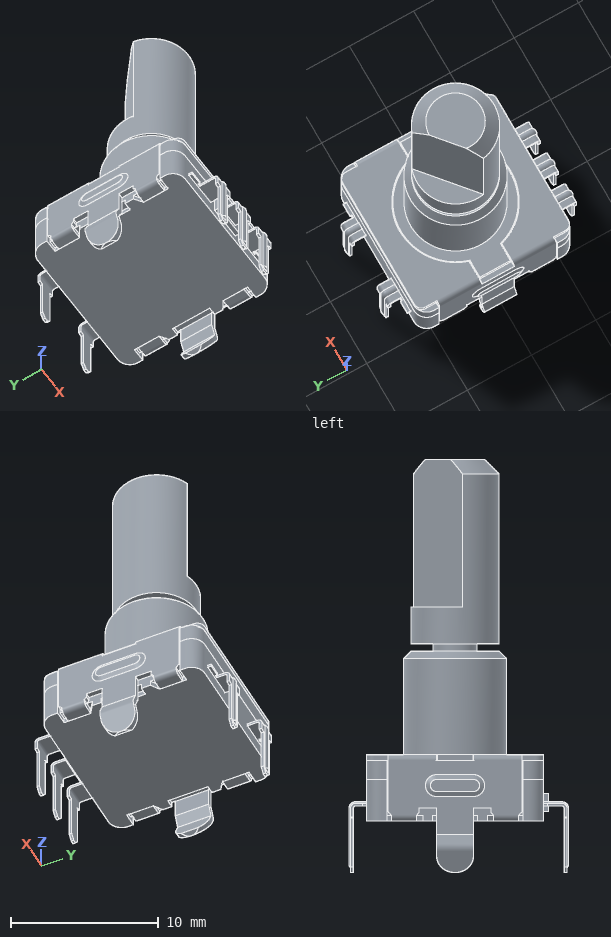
import cadquery as cq
import math


HOUSING_X = 11.7
HOUSING_Y = 12.0
HOUSING_CORNER = 1.0
BASE_TOP = 2.8
HOUSING_TOP = 4.5
CLEARANCE = 0.05

BRACKET_SHEET = 0.4
WALL_WIDTH = 9.1
COVER_CORNER = 0.53
COVER_HOLE_D = 8.62
COVER_BOTTOM = HOUSING_TOP - BRACKET_SHEET
WALL_OUTER_X = HOUSING_X / 2
WALL_INNER_X = WALL_OUTER_X - BRACKET_SHEET

TAB_FROM_Y = 2.6
TAB_TO_Y = 4.3
TAB_REACH = 1.0
TAB_INNER_X = WALL_OUTER_X - TAB_REACH
NOTCH_Y = 2.45
NOTCH_TOP = 0.9
NOTCH_CORNER_Z = 0.6
WALL_CORNER_Z = 0.65

PAD_LENGTH = 4.0
PAD_HEIGHT = 1.48
PAD_RISE = 0.17
PAD_SLOPE_WIDTH = 0.35
PAD_Z = 2.4

LEG_WIDTH = 2.52
LEG_BEND_Z = -0.92
LEG_REACH = 6.202
LEG_ANGLE = math.radians(25)
KNEE_OUTER_R = 0.55
PIN_BOTTOM = -3.5

BUSHING_D = 7.0
BUSHING_LENGTH = 7.0
BUSHING_TOP = HOUSING_TOP + BUSHING_LENGTH
BUSHING_CHAMFER = 0.5

SHAFT_D = 6.0
NECK_D = 3.0
SHAFT_TOP = 24.5
NECK_GAP = 0.5
SHAFT_BOTTOM = BUSHING_TOP + NECK_GAP
SHAFT_CHAMFER = 0.98
FLAT_LENGTH = 10.0
FLAT_OFFSET = 1.5
FLAT_NORMAL_ANGLE = 130

RECESS_OUTER_START_Y = 2.18
LEG_RECESS_WIDTH = 3.02
BOSS_WIDTH = 2.52
BOSS_BOTTOM = 0.65
BOSS_TOP = 1.88
BOSS_RISE = 0.35

PITCH = 2.5
FRONT_REACH = 7.7
REAR_REACH = 7.2
TERMINAL_SHEET = 0.2
TERMINAL_TOP = 1.2
TERMINAL_BEND_R = 0.35
TERMINAL_EMBED = 1.0
HEAD_WIDTH = 1.5
HEAD_BOTTOM = 0.28
SHOULDER_DROP = 0.08
PIN_WIDTH = 0.9
TIP_WIDTH = 0.28
TIP_LENGTH = 0.4
RIB_WIDTH = 0.5
RIB_RISE = 0.1
RIB_END_Z = -3.15
RIB_BEVEL_LENGTH = 0.17
EAR_FROM_X = 3.45
EAR_TO_X = 4.4
EAR_RISE = 0.25
EAR_LINK_RISE = 0.1


def block(x_from, x_to, y_from, y_to, z_from, z_to):
    """Axis-aligned box between the given limits."""
    size = (x_to - x_from, y_to - y_from, z_to - z_from)
    return cq.Workplane("XY").box(*size, centered=False).translate((x_from, y_from, z_from))


def both_sides(solid):
    """The solid together with its mirror image across the YZ plane."""
    return solid.union(solid.mirror("YZ"))


def housing_layer(z_from, z_to):
    """Round-cornered layer, recessed at both X ends for the bracket walls."""
    layer = (
        cq.Workplane("XY")
        .workplane(offset=z_from)
        .rect(HOUSING_X, HOUSING_Y)
        .extrude(z_to - z_from)
        .edges("|Z")
        .fillet(HOUSING_CORNER)
    )
    half_slot = WALL_WIDTH / 2 + CLEARANCE
    wall_slot = block(WALL_INNER_X, WALL_OUTER_X, -half_slot, half_slot, z_from, z_to)
    return layer.cut(both_sides(wall_slot))


def make_shaft():
    shaft = (
        cq.Workplane("XY")
        .workplane(offset=SHAFT_BOTTOM)
        .circle(SHAFT_D / 2)
        .extrude(SHAFT_TOP - SHAFT_BOTTOM)
        .faces(">Z")
        .chamfer(SHAFT_CHAMFER)
    )
    flat_cut = block(
        FLAT_OFFSET, SHAFT_D, -SHAFT_D, SHAFT_D, SHAFT_TOP - FLAT_LENGTH, SHAFT_TOP
    ).rotate((0, 0, 0), (0, 0, 1), FLAT_NORMAL_ANGLE)
    neck = (
        cq.Workplane("XY")
        .workplane(offset=BASE_TOP)
        .circle(NECK_D / 2)
        .extrude(SHAFT_BOTTOM - BASE_TOP)
    )
    return shaft.cut(flat_cut).union(neck)


def make_bearing():
    """Upper housing layer with the bushing and the cross that fills the cover opening."""
    bearing = housing_layer(BASE_TOP, COVER_BOTTOM)
    half_strip = LEG_WIDTH / 2 - CLEARANCE
    strip = block(-WALL_INNER_X, WALL_INNER_X, -half_strip, half_strip, COVER_BOTTOM, HOUSING_TOP)
    disc = (
        cq.Workplane("XY")
        .workplane(offset=COVER_BOTTOM)
        .circle(COVER_HOLE_D / 2 - CLEARANCE)
        .extrude(BRACKET_SHEET)
    )
    bushing = (
        cq.Workplane("XY")
        .workplane(offset=COVER_BOTTOM)
        .circle(BUSHING_D / 2)
        .extrude(BUSHING_TOP - COVER_BOTTOM)
        .faces(">Z")
        .chamfer(BUSHING_CHAMFER)
    )
    bore = (
        cq.Workplane("XY")
        .workplane(offset=BASE_TOP)
        .circle(NECK_D / 2)
        .extrude(BUSHING_TOP - BASE_TOP)
    )
    return bearing.union(strip).union(disc).union(bushing).cut(bore)


def make_wall_sheet():
    """+X wall below the cover bend, with notches beside the leg."""
    return (
        cq.Workplane("YZ")
        .workplane(offset=WALL_INNER_X)
        .moveTo(0, COVER_BOTTOM)
        .lineTo(WALL_WIDTH / 2, COVER_BOTTOM)
        .lineTo(WALL_WIDTH / 2, WALL_CORNER_Z)
        .lineTo(TAB_TO_Y, BRACKET_SHEET)
        .lineTo(TAB_FROM_Y, BRACKET_SHEET)
        .lineTo(NOTCH_Y, NOTCH_CORNER_Z)
        .lineTo(NOTCH_Y, NOTCH_TOP)
        .lineTo(0, NOTCH_TOP)
        .mirrorY()
        .extrude(BRACKET_SHEET)
    )


def make_tab():
    """Tab folded inward under the +X, +Y part of the base."""
    return (
        cq.Workplane("XZ", origin=(0, TAB_TO_Y, 0))
        .moveTo(WALL_OUTER_X, BRACKET_SHEET)
        .lineTo(TAB_INNER_X, BRACKET_SHEET)
        .lineTo(TAB_INNER_X, 0)
        .lineTo(WALL_INNER_X, 0)
        .radiusArc((WALL_OUTER_X, BRACKET_SHEET), -BRACKET_SHEET)
        .close()
        .extrude(TAB_TO_Y - TAB_FROM_Y)
    )


def make_pad():
    """Raised racetrack pad with sloping sides on the +X wall."""
    foot = (
        cq.Workplane("YZ")
        .workplane(offset=WALL_OUTER_X)
        .center(0, PAD_Z)
        .slot2D(PAD_LENGTH, PAD_HEIGHT)
    )
    return foot.workplane(offset=PAD_RISE).slot2D(
        PAD_LENGTH - 2 * PAD_SLOPE_WIDTH, PAD_HEIGHT - 2 * PAD_SLOPE_WIDTH
    ).loft(ruled=True)


def make_leg():
    """Spring leg of the +X wall: bent outward, then inward past a rounded knee."""
    sine = math.sin(LEG_ANGLE)
    cosine = math.cos(LEG_ANGLE)
    knee_x = LEG_REACH + KNEE_OUTER_R * (1 / cosine - 1)
    knee_z = LEG_BEND_Z - (knee_x - WALL_OUTER_X) / math.tan(LEG_ANGLE)
    end_x = knee_x - (knee_z - PIN_BOTTOM) * math.tan(LEG_ANGLE)
    leg = (
        cq.Workplane("XZ")
        .moveTo(WALL_OUTER_X, NOTCH_TOP)
        .lineTo(WALL_OUTER_X, LEG_BEND_Z)
        .lineTo(knee_x, knee_z)
        .lineTo(end_x, PIN_BOTTOM)
        .lineTo(end_x - BRACKET_SHEET * cosine, PIN_BOTTOM + BRACKET_SHEET * sine)
        .lineTo(knee_x - BRACKET_SHEET / cosine, knee_z)
        .lineTo(WALL_INNER_X, LEG_BEND_Z - BRACKET_SHEET * math.tan(LEG_ANGLE / 2))
        .lineTo(WALL_INNER_X, NOTCH_TOP)
        .close()
        .extrude(LEG_WIDTH / 2, both=True)
        .edges(">X")
        .fillet(KNEE_OUTER_R)
    )
    end_height = LEG_WIDTH / 2 * cosine
    end_center_z = PIN_BOTTOM + end_height
    outline = cq.Workplane("YZ").center(0, end_center_z).ellipse(LEG_WIDTH / 2, end_height)
    rounded_end = outline.extrude(2 * WALL_OUTER_X)
    straight_part = block(
        0, 2 * WALL_OUTER_X, -LEG_WIDTH / 2, LEG_WIDTH / 2, end_center_z, NOTCH_TOP
    )
    return leg.intersect(straight_part.union(rounded_end))


def make_bracket():
    cover = (
        cq.Workplane("XY")
        .workplane(offset=COVER_BOTTOM)
        .rect(2 * WALL_INNER_X, HOUSING_Y)
        .extrude(BRACKET_SHEET)
        .edges("|Z")
        .fillet(COVER_CORNER)
    )
    bend = (
        cq.Workplane("XZ")
        .moveTo(WALL_INNER_X, COVER_BOTTOM)
        .lineTo(WALL_OUTER_X, COVER_BOTTOM)
        .radiusArc((WALL_INNER_X, HOUSING_TOP), -BRACKET_SHEET)
        .close()
        .extrude(WALL_WIDTH / 2, both=True)
    )
    side = make_wall_sheet().union(bend).union(make_pad()).union(make_leg())
    tab = make_tab()
    side = side.union(tab).union(tab.mirror("XZ"))
    hole = (
        cq.Workplane("XY")
        .workplane(offset=COVER_BOTTOM)
        .circle(COVER_HOLE_D / 2)
        .extrude(BRACKET_SHEET)
    )
    slot = block(
        -WALL_OUTER_X, WALL_OUTER_X, -LEG_WIDTH / 2, LEG_WIDTH / 2, COVER_BOTTOM, HOUSING_TOP
    )
    return cover.union(both_sides(side)).cut(hole).cut(slot)


def make_terminal(reach, ear_side):
    """Bent terminal at X = 0 pointing to -Y; ear_side is -1, 0 (no ear) or +1 along X."""
    face_y = -HOUSING_Y / 2
    inner_y = face_y + TERMINAL_EMBED
    outer_y = -(reach - RIB_RISE)
    under_z = TERMINAL_TOP - TERMINAL_SHEET

    bent_sheet = (
        cq.Workplane("YZ")
        .moveTo(inner_y, TERMINAL_TOP)
        .lineTo(outer_y + TERMINAL_BEND_R, TERMINAL_TOP)
        .radiusArc((outer_y, TERMINAL_TOP - TERMINAL_BEND_R), -TERMINAL_BEND_R)
        .lineTo(outer_y, PIN_BOTTOM)
        .lineTo(outer_y + TERMINAL_SHEET, PIN_BOTTOM)
        .lineTo(outer_y + TERMINAL_SHEET, TERMINAL_TOP - TERMINAL_BEND_R)
        .radiusArc((outer_y + TERMINAL_BEND_R, under_z), TERMINAL_BEND_R - TERMINAL_SHEET)
        .lineTo(inner_y, under_z)
        .close()
        .extrude(HEAD_WIDTH / 2, both=True)
    )
    outline = (
        cq.Workplane("XZ", origin=(0, inner_y, 0))
        .moveTo(0, TERMINAL_TOP)
        .lineTo(HEAD_WIDTH / 2, TERMINAL_TOP)
        .lineTo(HEAD_WIDTH / 2, HEAD_BOTTOM)
        .lineTo(PIN_WIDTH / 2, HEAD_BOTTOM - SHOULDER_DROP)
        .lineTo(PIN_WIDTH / 2, PIN_BOTTOM + TIP_LENGTH)
        .lineTo(TIP_WIDTH / 2, PIN_BOTTOM)
        .lineTo(0, PIN_BOTTOM)
        .mirrorY()
        .extrude(reach)
    )
    terminal = bent_sheet.intersect(outline)

    rib_path = (
        cq.Workplane("YZ")
        .moveTo(inner_y, TERMINAL_TOP)
        .lineTo(outer_y + TERMINAL_BEND_R, TERMINAL_TOP)
        .radiusArc((outer_y, TERMINAL_TOP - TERMINAL_BEND_R), -TERMINAL_BEND_R)
        .lineTo(outer_y, RIB_END_Z)
    )
    rib_foot_z = TERMINAL_TOP - TERMINAL_SHEET / 2
    rib = (
        cq.Workplane("XZ", origin=(0, inner_y, 0))
        .moveTo(-RIB_WIDTH / 2, rib_foot_z)
        .lineTo(-RIB_WIDTH / 2, TERMINAL_TOP)
        .threePointArc((0, TERMINAL_TOP + RIB_RISE), (RIB_WIDTH / 2, TERMINAL_TOP))
        .lineTo(RIB_WIDTH / 2, rib_foot_z)
        .close()
        .sweep(rib_path)
    )
    rib_bevel = (
        cq.Workplane("YZ")
        .moveTo(outer_y, RIB_END_Z)
        .lineTo(outer_y - RIB_RISE, RIB_END_Z + RIB_BEVEL_LENGTH)
        .lineTo(outer_y - RIB_RISE, RIB_END_Z)
        .close()
        .extrude(RIB_WIDTH, both=True)
    )
    terminal = terminal.union(rib.cut(rib_bevel))

    if ear_side:
        link = block(
            0, EAR_FROM_X - PITCH, face_y - EAR_LINK_RISE, inner_y, under_z, TERMINAL_TOP
        )
        ear = block(
            EAR_FROM_X - PITCH, EAR_TO_X - PITCH, face_y - EAR_RISE, inner_y, under_z, TERMINAL_TOP
        )
        ear = link.union(ear)
        if ear_side < 0:
            ear = ear.mirror("YZ")
        terminal = terminal.union(ear)
    return terminal


def make_terminals():
    """Three terminals on the -Y side and two on the +Y side."""
    terminals = []
    for column in (-1, 0, 1):
        terminals.append(make_terminal(FRONT_REACH, column).translate((column * PITCH, 0, 0)))
    for column in (-1, 1):
        rear = make_terminal(REAR_REACH, column).mirror("XZ")
        terminals.append(rear.translate((column * PITCH, 0, 0)))
    return terminals


def make_base(terminals):
    """Lower housing layer with recesses for the bracket edge and slots for the terminals."""
    base = housing_layer(0, BASE_TOP)
    tab_recess = (
        cq.Workplane("XY")
        .moveTo(TAB_INNER_X, TAB_FROM_Y)
        .lineTo(WALL_INNER_X, RECESS_OUTER_START_Y)
        .lineTo(WALL_INNER_X, WALL_WIDTH / 2 + CLEARANCE)
        .lineTo(TAB_INNER_X, WALL_WIDTH / 2 + CLEARANCE)
        .close()
        .extrude(BRACKET_SHEET)
    )
    leg_recess = block(
        TAB_INNER_X, WALL_INNER_X, -LEG_RECESS_WIDTH / 2, LEG_RECESS_WIDTH / 2, 0, BRACKET_SHEET
    )
    recesses = tab_recess.union(tab_recess.mirror("XZ")).union(leg_recess)
    base = base.cut(both_sides(recesses))
    boss = block(
        -BOSS_WIDTH / 2, BOSS_WIDTH / 2, -HOUSING_Y / 2 - BOSS_RISE, 0, BOSS_BOTTOM, BOSS_TOP
    )
    base = base.union(boss)
    for terminal in terminals:
        base = base.cut(terminal)
    return base


shaft = make_shaft()
bearing = make_bearing()
bracket = make_bracket()
terminals = make_terminals()
base = make_base(terminals)

result = cq.Compound.makeCompound(
    [
        shaft.val(),
        bearing.val(),
        bracket.val(),
        base.val(),
        *[terminal.val() for terminal in terminals],
    ]
)